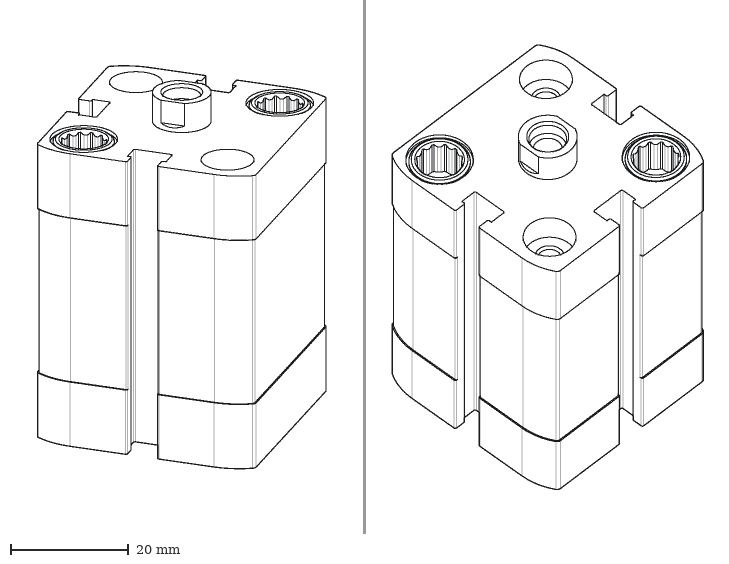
import cadquery as cq
import math

OVERALL_HEIGHT = 59.5
WIDTH = 39.5
BODY_HEIGHT = 54.15
CAP_HEIGHT = 11.9
TUBE_INSET = 0.25

CORNER_RADIUS = 12.5
CORNER_ROUND = 0.85
HOLE_SPACING = 26.0
HOLE_OFFSET = HOLE_SPACING / 2

SLOT_MOUTH_WIDTH = 5.5
SLOT_WIDTH = 6.95
SLOT_LIP = 2.4
SLOT_DEPTH = 5.6
SLOT_ROUND = 0.3
SLOT_ANGLES = (90, 180, 270)

THROUGH_DIAMETER = 4.1
COUNTERSINK_DIAMETER = 5.0
COUNTERBORE_DIAMETER = 9.0
COUNTERBORE_DEPTH = 4.8
COUNTERBORED_CORNERS = ((-1, 1), (1, -1))
SCREW_CORNERS = ((-1, -1), (1, 1))

RECESS_DIAMETER = 11.5
RECESS_DEPTH = 0.7
HEAD_DIAMETER = 10.5
HEAD_TOP_DIAMETER = 9.65
SOCKET_POINTS = 12
SOCKET_INNER_DIAMETER = 7.5
SOCKET_OUTER_DIAMETER = 8.0
SOCKET_LAND_WIDTH = 0.6
SOCKET_POINT_WIDTH = 0.35
SOCKET_MOUTH_DIAMETER = 8.45
SOCKET_MOUTH_DEPTH = 0.9
SOCKET_DEPTH = 7.15

ROD_DIAMETER = 10.0
ROD_FLATS = 9.05
FLAT_LENGTH = 4.15
FLAT_SLOPE_DROP = 0.4
ROD_BOTTOM = BODY_HEIGHT - CAP_HEIGHT
ROD_MOUTH_DIAMETER = 7.15
ROD_MOUTH_DEPTH = 0.6
ROD_RELIEF_DIAMETER = 6.4
ROD_RELIEF_DEPTH = 2.6
ROD_RELIEF_SLOPE_DROP = 0.4
ROD_BORE_DIAMETER = 4.95
ROD_BORE_DEPTH = 12.0
DRILL_TIP_ANGLE = 118.0


def body_section(inset, bottom, height):
    """Prism of the body outline, set in from the caps' outline by `inset`.

    The large arcs are tangent to the Y faces and meet the X faces at an angle, which is rounded.
    """
    half = WIDTH / 2 - inset
    radius = CORNER_RADIUS - inset
    arc_centre_y = WIDTH / 2 - CORNER_RADIUS
    end_angle = math.acos((half - HOLE_OFFSET) / radius)
    mid_angle = (end_angle + math.pi / 2) / 2

    def on_arc(angle, side_x, side_y):
        x = HOLE_OFFSET + radius * math.cos(angle)
        y = arc_centre_y + radius * math.sin(angle)
        return (side_x * x, side_y * y)

    outline = (
        cq.Workplane("XY", origin=(0, 0, bottom))
        .moveTo(-HOLE_OFFSET, half)
        .lineTo(HOLE_OFFSET, half)
        .threePointArc(on_arc(mid_angle, 1, 1), on_arc(end_angle, 1, 1))
        .lineTo(*on_arc(end_angle, 1, -1))
        .threePointArc(on_arc(mid_angle, 1, -1), (HOLE_OFFSET, -half))
        .lineTo(-HOLE_OFFSET, -half)
        .threePointArc(on_arc(mid_angle, -1, -1), on_arc(end_angle, -1, -1))
        .lineTo(*on_arc(end_angle, -1, 1))
        .threePointArc(on_arc(mid_angle, -1, 1), (-HOLE_OFFSET, half))
        .close()
    )
    prism = outline.extrude(height)
    return prism.edges("|Z").edges(">X or <X").fillet(CORNER_ROUND - inset)


def slot_cutter(inset):
    """T-slot in the +X face, with rounded lips and floor corners, for a section set in by `inset`."""
    face = WIDTH / 2 - inset
    lip_end = WIDTH / 2 - SLOT_LIP
    floor = WIDTH / 2 - SLOT_DEPTH
    mouth = SLOT_MOUTH_WIDTH / 2
    wall = SLOT_WIDTH / 2
    bend = SLOT_ROUND * (1 - math.sqrt(0.5))
    return (
        cq.Workplane("XY")
        .moveTo(floor, -wall)
        .lineTo(lip_end, -wall)
        .lineTo(lip_end, -mouth - SLOT_ROUND)
        .threePointArc((lip_end + bend, -mouth - bend), (lip_end + SLOT_ROUND, -mouth))
        .lineTo(face - SLOT_ROUND, -mouth)
        .threePointArc((face - bend, -mouth - bend), (face, -mouth - SLOT_ROUND))
        .lineTo(face, mouth + SLOT_ROUND)
        .threePointArc((face - bend, mouth + bend), (face - SLOT_ROUND, mouth))
        .lineTo(lip_end + SLOT_ROUND, mouth)
        .threePointArc((lip_end + bend, mouth + bend), (lip_end, mouth + SLOT_ROUND))
        .lineTo(lip_end, wall)
        .lineTo(floor, wall)
        .close()
        .extrude(BODY_HEIGHT)
        .edges("|Z and <X")
        .fillet(SLOT_ROUND)
    )


def slotted_section(inset, bottom, height):
    section = body_section(inset, bottom, height)
    for angle in SLOT_ANGLES:
        section = section.cut(slot_cutter(inset).rotate((0, 0, 0), (0, 0, 1), angle))
    return section


def turned(outline):
    """Solid of revolution about Z from a closed outline of (radius, z) points."""
    return cq.Workplane("XZ").polyline(outline).close().revolve(360, (0, 0, 0), (0, 1, 0))


def cylinder(diameter, bottom, top):
    return cq.Workplane("XY", origin=(0, 0, bottom)).circle(diameter / 2).extrude(top - bottom)


def through_hole(floor):
    """Hole from the body bottom up to height `floor`, where it is countersunk."""
    radius = THROUGH_DIAMETER / 2
    sink = COUNTERSINK_DIAMETER / 2
    return turned([(0, 0), (radius, 0), (radius, floor - (sink - radius)), (sink, floor), (0, floor)])


def counterbored_hole():
    floor = BODY_HEIGHT - COUNTERBORE_DEPTH
    return cylinder(COUNTERBORE_DIAMETER, floor, BODY_HEIGHT).union(through_hole(floor))


def socket(floor):
    """Twelve-point star socket with a conical mouth."""
    flats = (
        (SOCKET_OUTER_DIAMETER / 2, SOCKET_POINT_WIDTH / 2),
        (SOCKET_INNER_DIAMETER / 2, SOCKET_LAND_WIDTH / 2),
    )
    corners = []
    for i in range(2 * SOCKET_POINTS):
        angle = math.pi * i / SOCKET_POINTS
        radius, half_width = flats[i % 2]
        for side in (-half_width, half_width):
            x = radius * math.cos(angle) - side * math.sin(angle)
            y = radius * math.sin(angle) + side * math.cos(angle)
            corners.append((x, y))
    star = cq.Workplane("XY", origin=(0, 0, floor)).polyline(corners).close().extrude(BODY_HEIGHT - floor)
    inner = SOCKET_INNER_DIAMETER / 2
    mouth = SOCKET_MOUTH_DIAMETER / 2
    mouth_foot = BODY_HEIGHT - SOCKET_MOUTH_DEPTH
    cone = turned([(0, mouth_foot), (inner, mouth_foot), (mouth, BODY_HEIGHT), (0, BODY_HEIGHT)])
    return star.union(cone)


def screw_hole():
    """Everything removed at a screw corner: ring gap round the head, socket and through hole."""
    head_chamfer = (HEAD_DIAMETER - HEAD_TOP_DIAMETER) / 2
    recess_floor = BODY_HEIGHT - RECESS_DEPTH
    socket_floor = BODY_HEIGHT - SOCKET_DEPTH
    recess = cylinder(RECESS_DIAMETER, recess_floor, BODY_HEIGHT)
    head = cylinder(HEAD_DIAMETER, recess_floor, BODY_HEIGHT).faces(">Z").chamfer(head_chamfer)
    return recess.cut(head).union(socket(socket_floor)).union(through_hole(socket_floor))


def at_corner(shape, corner):
    return shape.translate((corner[0] * HOLE_OFFSET, corner[1] * HOLE_OFFSET, 0))


def make_housing():
    upper_cap_bottom = BODY_HEIGHT - CAP_HEIGHT
    housing = slotted_section(0, 0, CAP_HEIGHT)
    housing = housing.union(slotted_section(TUBE_INSET, CAP_HEIGHT, upper_cap_bottom - CAP_HEIGHT))
    housing = housing.union(slotted_section(0, upper_cap_bottom, CAP_HEIGHT))
    for corner in COUNTERBORED_CORNERS:
        housing = housing.cut(at_corner(counterbored_hole(), corner))
    for corner in SCREW_CORNERS:
        housing = housing.cut(at_corner(screw_hole(), corner))
    return housing.cut(cylinder(ROD_DIAMETER, ROD_BOTTOM, BODY_HEIGHT))


def rod_flat_cutter():
    """Material removed at the flat on the +Y side of the rod."""
    flat_y = ROD_FLATS / 2
    surface_y = ROD_DIAMETER / 2
    foot = OVERALL_HEIGHT - FLAT_LENGTH
    return (
        cq.Workplane("YZ")
        .polyline([
            (flat_y, OVERALL_HEIGHT),
            (flat_y, foot),
            (surface_y, foot - FLAT_SLOPE_DROP),
            (surface_y, OVERALL_HEIGHT),
        ])
        .close()
        .extrude(ROD_DIAMETER / 2, both=True)
    )


def rod_bore():
    """Blind bore with a wider, chamfered entry and a drill-point end."""
    mouth = ROD_MOUTH_DIAMETER / 2
    relief = ROD_RELIEF_DIAMETER / 2
    bore = ROD_BORE_DIAMETER / 2
    relief_floor = OVERALL_HEIGHT - ROD_RELIEF_DEPTH
    bore_floor = OVERALL_HEIGHT - ROD_BORE_DEPTH
    tip = bore_floor - bore / math.tan(math.radians(DRILL_TIP_ANGLE / 2))
    return turned([
        (0, tip),
        (bore, bore_floor),
        (bore, relief_floor - ROD_RELIEF_SLOPE_DROP),
        (relief, relief_floor),
        (relief, OVERALL_HEIGHT - ROD_MOUTH_DEPTH),
        (mouth, OVERALL_HEIGHT),
        (0, OVERALL_HEIGHT),
    ])


def make_rod():
    rod = cylinder(ROD_DIAMETER, ROD_BOTTOM, OVERALL_HEIGHT)
    rod = rod.cut(rod_flat_cutter()).cut(rod_flat_cutter().mirror("XZ"))
    return rod.cut(rod_bore())


housing = make_housing()
rod = make_rod()
result = cq.Compound.makeCompound([housing.val(), rod.val()])